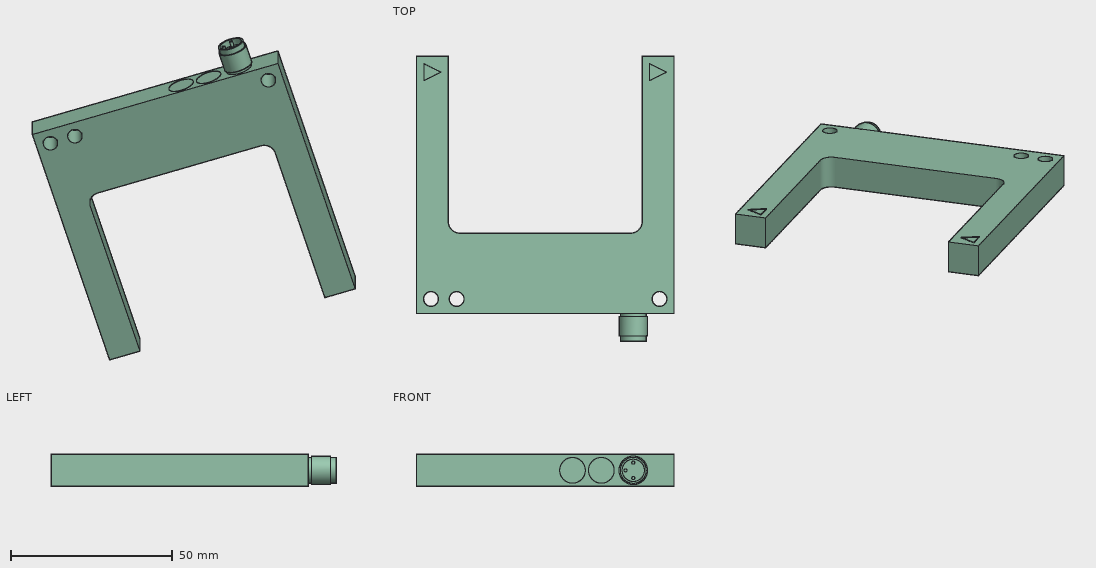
import cadquery as cq

body_width = 80.0
overall_length = 88.6
body_length = 79.9
body_height = 10.0
arm_width = 9.9
opening_depth = 54.95
opening_corner_radius = 3.55
mid_height = body_height / 2

hole_diameter = 4.5
hole_inset = 4.5
second_hole_x = 12.5

arrow_length = 5.2
arrow_width = 5.2
arrow_depth = 0.3

window_diameter = 8.0
window_depth = 0.1
window_positions = (body_width - 31.55, body_width - 22.6)

plug_x = body_width - 12.7
plug_length = overall_length - body_length
plug_diameter = 8.9
plug_end_diameter = 8.1
neck_length = 0.9
sleeve_end = 6.9
socket_diameter = 6.9
socket_depth = 2.1
pin_diameter = 1.0
pin_length = 1.95
pin_offset = 2.4


def make_body():
    opening_width = body_width - 2 * arm_width
    body = cq.Workplane("XY").box(body_width, body_length, body_height, centered=False)
    opening = (
        cq.Workplane("XY")
        .box(opening_width, opening_depth, body_height, centered=False)
        .edges("|Z and <Y")
        .fillet(opening_corner_radius)
        .translate((arm_width, body_length - opening_depth, 0))
    )
    return body.cut(opening)


def make_mounting_holes():
    hole_positions = [(x, hole_inset) for x in (hole_inset, second_hole_x, body_width - hole_inset)]
    return cq.Workplane("XY").pushPoints(hole_positions).circle(hole_diameter / 2).extrude(body_height)


def make_arrow(arm_center_x):
    """Triangular pocket pointing toward +X, centred on the end of an arm."""
    center_y = body_length - arm_width / 2
    back_x = arm_center_x - arrow_length / 2
    return (
        cq.Workplane("XY", origin=(0, 0, body_height))
        .moveTo(back_x, center_y - arrow_width / 2)
        .lineTo(back_x + arrow_length, center_y)
        .lineTo(back_x, center_y + arrow_width / 2)
        .close()
        .extrude(-arrow_depth)
    )


def front_cylinder(x, z, diameter, start, length):
    """Cylinder along Y; start is its distance out from the front face, length runs outward."""
    return (
        cq.Workplane("XZ", origin=(x, -start, z))
        .circle(diameter / 2)
        .extrude(length)
    )


def make_plug():
    core = front_cylinder(plug_x, mid_height, plug_end_diameter, 0, plug_length)
    sleeve = front_cylinder(plug_x, mid_height, plug_diameter, neck_length, sleeve_end - neck_length)
    socket_floor = plug_length - socket_depth
    socket = front_cylinder(plug_x, mid_height, socket_diameter, socket_floor, socket_depth)
    plug = core.union(sleeve).cut(socket)
    for dx, dz in ((0, pin_offset), (-pin_offset, 0), (0, -pin_offset)):
        pin = front_cylinder(plug_x + dx, mid_height + dz, pin_diameter, socket_floor, pin_length)
        plug = plug.union(pin)
    return plug


result = make_body().cut(make_mounting_holes())
for arm_center in (arm_width / 2, body_width - arm_width / 2):
    result = result.cut(make_arrow(arm_center))
for window_x in window_positions:
    result = result.cut(front_cylinder(window_x, mid_height, window_diameter, -window_depth, window_depth))
result = result.union(make_plug())